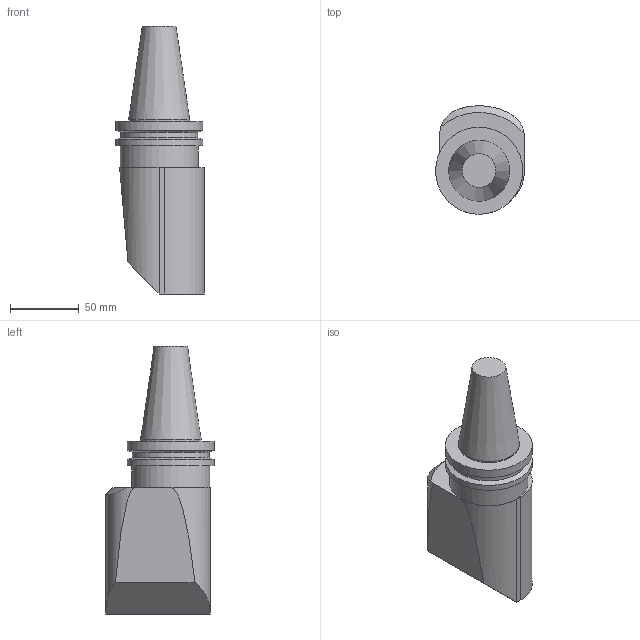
import cadquery as cq
import math

gauge_diameter = 44.45
taper_length = 68.25
taper_ratio = 7 / 24

flange_diameter = 63.5
flange_top_z = -1.0
flange_bottom_z = -19.05
groove_floor_diameter = 56.36
groove_center_z = -11.1
groove_mouth_width = 7.0
groove_flank_angle = 24.0

neck_diameter = 57.0
body_top_z = -35.0
body_bottom_z = -127.0
front_corner_radius = 28.75
front_flat_width = 4.25
back_radius = 47.5
back_corner_radius = 20.0
back_chamfer = 5.0

relief_angle = 5.0
bevel_angle = 45.0
bevel_end_x = 0.0

cut_margin = 10.0
body_height = body_top_z - body_bottom_z


def make_shank():
    """Taper, flange, groove and neck as one turned profile."""
    gauge_radius = gauge_diameter / 2
    tip_radius = gauge_radius - taper_length * taper_ratio / 2
    flange_radius = flange_diameter / 2
    floor_radius = groove_floor_diameter / 2
    neck_radius = neck_diameter / 2
    mouth_half = groove_mouth_width / 2
    flank_drop = (flange_radius - floor_radius) * math.tan(math.radians(groove_flank_angle))
    floor_half = mouth_half - flank_drop
    profile = [
        (0, taper_length),
        (tip_radius, taper_length),
        (gauge_radius, 0),
        (gauge_radius, flange_top_z),
        (flange_radius, flange_top_z),
        (flange_radius, groove_center_z + mouth_half),
        (floor_radius, groove_center_z + floor_half),
        (floor_radius, groove_center_z - floor_half),
        (flange_radius, groove_center_z - mouth_half),
        (flange_radius, flange_bottom_z),
        (neck_radius, flange_bottom_z),
        (neck_radius, body_top_z),
        (0, body_top_z),
    ]
    return cq.Workplane("XZ").polyline(profile).close().revolve(360, (0, 0, 0), (0, 1, 0))


def back_corner(side_x):
    """Start, middle and end of the arc joining a flat side to the back arc, both tangent."""
    side = math.copysign(1, side_x)
    center_x = side_x - side * back_corner_radius
    center_distance = back_radius - back_corner_radius
    center_y = math.sqrt(center_distance**2 - center_x**2)
    end_angle = math.atan2(center_y, side * center_x)
    points = []
    for angle in (0, end_angle / 2, end_angle):
        x = center_x + side * back_corner_radius * math.cos(angle)
        y = center_y + back_corner_radius * math.sin(angle)
        points.append((x, y))
    return points


def make_body():
    """Upright body with two round front corners and a rounded back."""
    left_x = -front_corner_radius
    right_x = front_flat_width + front_corner_radius
    front_y = -front_corner_radius
    arc_offset = front_corner_radius * math.sqrt(0.5)
    right_start, right_middle, right_end = back_corner(right_x)
    left_start, left_middle, left_end = back_corner(left_x)
    return (
        cq.Workplane("XY", origin=(0, 0, body_bottom_z))
        .moveTo(0, front_y)
        .lineTo(front_flat_width, front_y)
        .threePointArc((front_flat_width + arc_offset, -arc_offset), (right_x, 0))
        .lineTo(*right_start)
        .threePointArc(right_middle, right_end)
        .threePointArc((0, back_radius), left_end)
        .threePointArc(left_middle, left_start)
        .lineTo(left_x, 0)
        .threePointArc((-arc_offset, -arc_offset), (0, front_y))
        .close()
        .extrude(body_height)
    )


def make_chamfer_envelope():
    """Turned envelope whose upper edge chamfers the back of the body at 45 degrees."""
    return (
        cq.Workplane("XY", origin=(0, 0, body_bottom_z))
        .circle(back_radius)
        .extrude(body_height)
        .faces(">Z")
        .chamfer(back_chamfer)
    )


def make_side_relief():
    """Wedge removed from the -X side: a leaning face above a bevel that runs down to the bottom."""
    left_x = -front_corner_radius
    lean = math.tan(math.radians(relief_angle))
    bevel = math.tan(math.radians(bevel_angle))
    knee_height = (bevel_end_x - left_x - lean * body_height) * bevel / (1 - lean * bevel)
    knee_x = bevel_end_x - knee_height / bevel
    outside_x = left_x - cut_margin
    profile = [
        (left_x, body_top_z),
        (knee_x, body_bottom_z + knee_height),
        (bevel_end_x, body_bottom_z),
        (outside_x, body_bottom_z),
        (outside_x, body_top_z),
    ]
    reach = back_radius + cut_margin
    return cq.Workplane("XZ").polyline(profile).close().extrude(reach, both=True)


body = make_body().intersect(make_chamfer_envelope()).cut(make_side_relief())
result = make_shank().union(body)